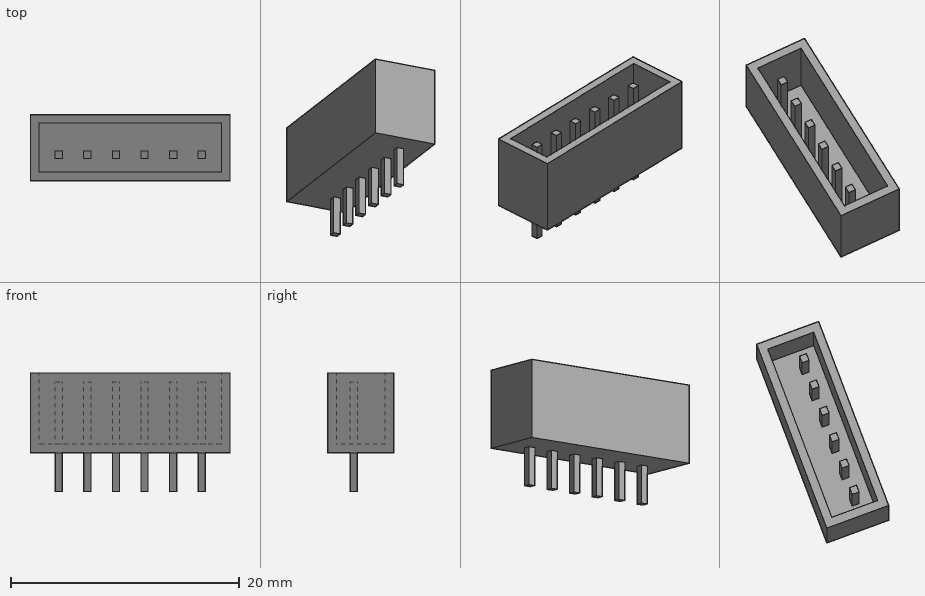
import cadquery as cq

length = 17.5
width = 5.8
body_height = 7.0
wall = 0.75
floor_thickness = wall

pin_count = 6
pin_pitch = 2.5
pin_side = 0.65
pin_row_y = -0.61
pin_tail = 3.4
pin_recess = 0.79


def make_shroud():
    """Rectangular box with its underside at Z = 0 and a pocket open at the top."""
    box = cq.Workplane("XY").box(length, width, body_height, centered=(True, True, False))
    pocket = (
        cq.Workplane("XY")
        .workplane(offset=floor_thickness)
        .rect(length - 2 * wall, width - 2 * wall)
        .extrude(body_height - floor_thickness)
    )
    return box.cut(pocket)


def make_pins():
    """Evenly spaced pins, centred along the length of the shroud."""
    first_x = -pin_pitch * (pin_count - 1) / 2
    centres = [(first_x + i * pin_pitch, pin_row_y) for i in range(pin_count)]
    pin_length = pin_tail + body_height - pin_recess
    return (
        cq.Workplane("XY")
        .workplane(offset=-pin_tail)
        .pushPoints(centres)
        .rect(pin_side, pin_side)
        .extrude(pin_length)
    )


result = make_shroud().union(make_pins())